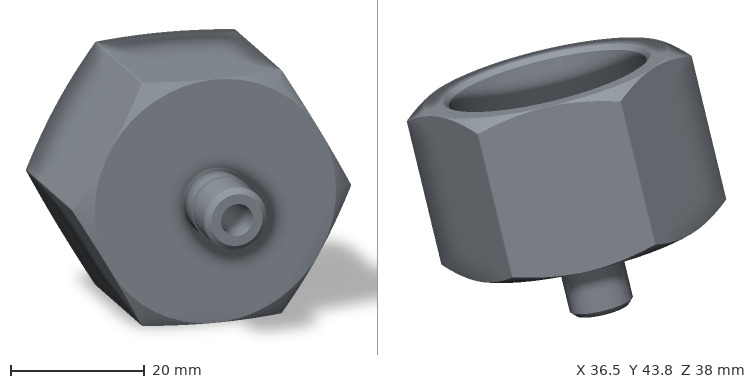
import cadquery as cq
import math

corner_span = 43.8
edge_round = 0.3
hex_length = 26.0
corner_loss = edge_round * (1 / math.cos(math.radians(30)) - 1)
sharp_corner_span = corner_span + 2 * corner_loss

bevel_angle = 30.0
bevel_start_diameter = 37.95

shoulder_diameter = 9.95
shoulder_length = 4.0
spigot_diameter = 9.7
spigot_length = 10.5
tip_bevel = 0.85
root_round = 0.4

bore_diameter = 30.45
mouth_diameter = 31.95
mouth_bevel_angle = 45.0
bore_depth = 16.3
floor_bore_diameter = 30.3
floor_depth = 18.12
floor_round = 0.5

hole_diameter = 5.0
hole_mouth_diameter = 6.05


def revolve_about_x(outline):
    """Turn a closed outline, drawn as (x, radius), about the X axis."""
    return outline.revolve(360, (0, 0, 0), (1, 0, 0))


def make_hexagon():
    prism = cq.Workplane("YZ").polygon(6, sharp_corner_span).extrude(hex_length)
    prism = prism.edges("|X").fillet(edge_round)
    start_radius = bevel_start_diameter / 2
    outer_radius = sharp_corner_span / 2
    bevel_length = (outer_radius - start_radius) * math.tan(math.radians(bevel_angle))
    outline = (
        cq.Workplane("XY")
        .moveTo(0, 0)
        .lineTo(0, start_radius)
        .lineTo(bevel_length, outer_radius)
        .lineTo(hex_length - bevel_length, outer_radius)
        .lineTo(hex_length, start_radius)
        .lineTo(hex_length, 0)
        .close()
    )
    return prism.intersect(revolve_about_x(outline))


def make_spigot():
    root = hex_length
    tip = hex_length + spigot_length
    shoulder_radius = shoulder_diameter / 2
    spigot_radius = spigot_diameter / 2
    outline = (
        cq.Workplane("XY")
        .moveTo(root, 0)
        .lineTo(root, shoulder_radius + root_round)
        .radiusArc((root + root_round, shoulder_radius), -root_round)
        .lineTo(root + shoulder_length, shoulder_radius)
        .lineTo(root + shoulder_length, spigot_radius)
        .lineTo(tip - tip_bevel, spigot_radius)
        .lineTo(tip, spigot_radius - tip_bevel)
        .lineTo(tip, 0)
        .close()
    )
    return revolve_about_x(outline)


def make_bore():
    bore_radius = bore_diameter / 2
    mouth_radius = mouth_diameter / 2
    mouth_depth = (mouth_radius - bore_radius) / math.tan(math.radians(mouth_bevel_angle))
    floor_bore_radius = floor_bore_diameter / 2
    outline = (
        cq.Workplane("XY")
        .moveTo(0, 0)
        .lineTo(0, mouth_radius)
        .lineTo(mouth_depth, bore_radius)
        .lineTo(bore_depth, bore_radius)
        .lineTo(bore_depth, floor_bore_radius)
        .lineTo(floor_depth - floor_round, floor_bore_radius)
        .radiusArc((floor_depth, floor_bore_radius - floor_round), floor_round)
        .lineTo(floor_depth, 0)
        .close()
    )
    return revolve_about_x(outline)


def make_hole():
    hole_radius = hole_diameter / 2
    hole_mouth_radius = hole_mouth_diameter / 2
    hole_bevel = hole_mouth_radius - hole_radius
    tip = hex_length + spigot_length
    outline = (
        cq.Workplane("XY")
        .moveTo(floor_depth, 0)
        .lineTo(floor_depth, hole_mouth_radius)
        .lineTo(floor_depth + hole_bevel, hole_radius)
        .lineTo(tip, hole_radius)
        .lineTo(tip, 0)
        .close()
    )
    return revolve_about_x(outline)


result = make_hexagon().union(make_spigot()).cut(make_bore()).cut(make_hole())